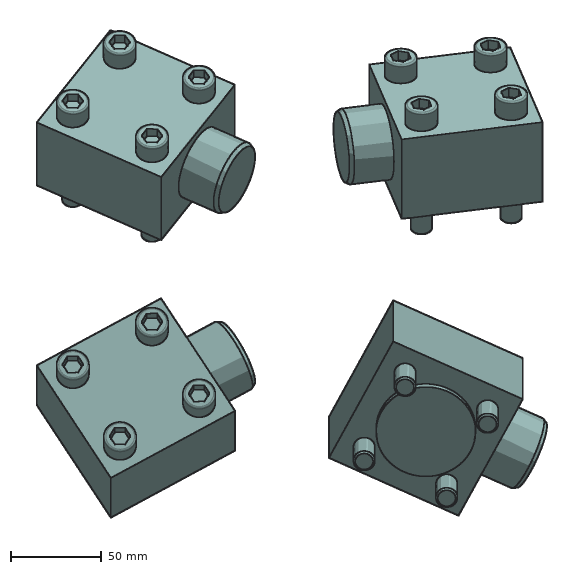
import cadquery as cq
import math

block_side = 80.0
block_height = 52.0
overall_height = 82.0

overall_length = 105.0
pipe_diameter = 42.4
pipe_length = overall_length - block_side
pipe_bevel_length = 2.5
pipe_bevel_depth = 1.4

spigot_diameter = 55.0
spigot_height = 4.0

screw_spacing = 50.9
shank_diameter = 12.0
shank_length = 18.0
shank_chamfer = 1.0
head_diameter = 18.0
head_height = overall_height - block_height - shank_length
head_fillet = 1.0
socket_across_flats = 10.0
socket_depth = 6.0
socket_across_corners = socket_across_flats / math.cos(math.pi / 6)


def make_block():
    return cq.Workplane("XY").box(block_side, block_side, block_height, centered=(True, True, False))


def make_pipe():
    return (
        cq.Workplane("YZ", origin=(block_side / 2, 0, block_height / 2))
        .circle(pipe_diameter / 2)
        .extrude(pipe_length)
        .faces(">X")
        .edges()
        .chamfer(pipe_bevel_length, pipe_bevel_depth)
    )


def make_spigot():
    return cq.Workplane("XY").circle(spigot_diameter / 2).extrude(-spigot_height)


def make_shank():
    return (
        cq.Workplane("XY")
        .circle(shank_diameter / 2)
        .extrude(-shank_length)
        .faces("<Z")
        .edges()
        .chamfer(shank_chamfer)
    )


def make_head():
    head = (
        cq.Workplane("XY", origin=(0, 0, block_height))
        .circle(head_diameter / 2)
        .extrude(head_height)
        .faces(">Z")
        .edges()
        .fillet(head_fillet)
    )
    socket = (
        cq.Workplane("XY", origin=(0, 0, block_height + head_height))
        .transformed(rotate=(0, 0, 90))
        .polygon(6, socket_across_corners)
        .extrude(-socket_depth)
    )
    return head.cut(socket)


result = make_block().union(make_pipe()).union(make_spigot())

for x_side in (-1, 1):
    for y_side in (-1, 1):
        screw_position = (x_side * screw_spacing / 2, y_side * screw_spacing / 2, 0)
        result = result.union(make_shank().translate(screw_position))
        result = result.union(make_head().translate(screw_position))